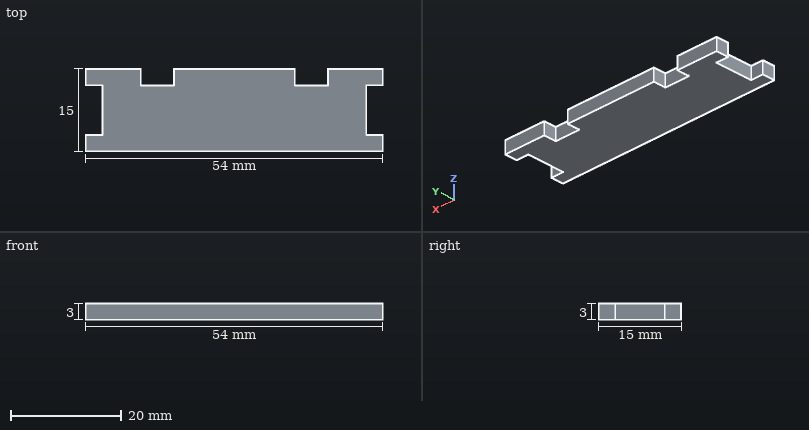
import cadquery as cq

plate_length = 54.0
plate_width = 15.0
thickness = 3.0

notch_depth = thickness
end_notch_width = 9.0
edge_notch_width = 6.0
edge_notch_offset = 10.0

edge_notch_x = plate_length / 2 - edge_notch_offset - edge_notch_width / 2
edge_notch_y = plate_width / 2 - notch_depth / 2
end_notch_x = plate_length / 2 - notch_depth / 2


def block(size_x, size_y, x=0.0, y=0.0):
    """Full-thickness block centred at (x, y)."""
    return cq.Workplane("XY").center(x, y).rect(size_x, size_y).extrude(thickness)


result = block(plate_length, plate_width)

for side in (-1, 1):
    result = result.cut(block(notch_depth, end_notch_width, x=side * end_notch_x))
    result = result.cut(block(edge_notch_width, notch_depth, x=side * edge_notch_x, y=edge_notch_y))